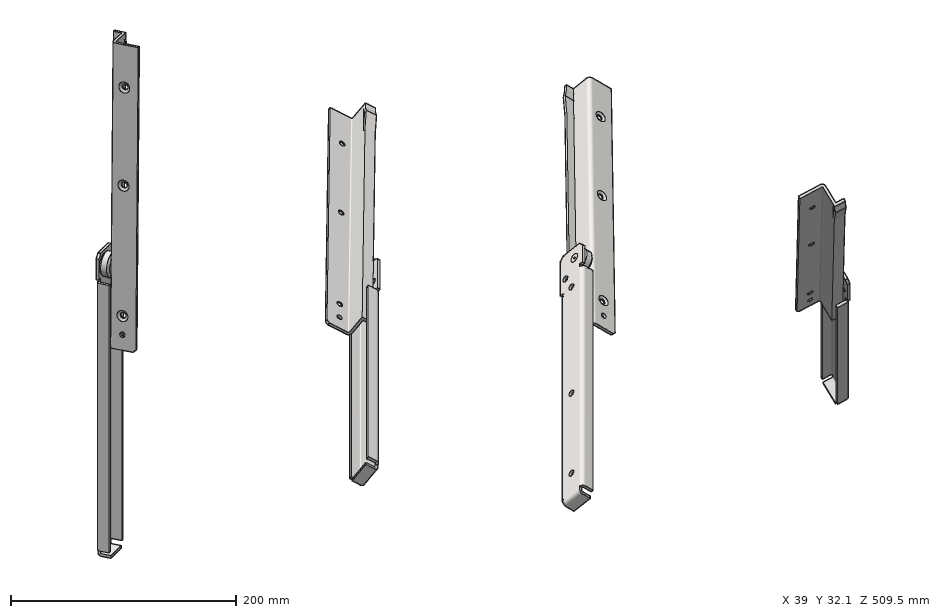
import cadquery as cq
import math

SHEET = 2.8
BEND = 3.8
RAIL_LENGTH = 299.5
OVERALL_HEIGHT = 509.5
LONG_PITCH = 128.0
SHORT_PITCH = 96.5

RAIL_BACK_X = -19.5
RAIL_RIM_X = -6.5
FLAT_HALF_WIDTH = 11.0
RAIL_HALF_WIDTH = FLAT_HALF_WIDTH + BEND
FLANGE_BOTTOM_Z = 7.0
REAR_FLANGE_TOP_Z = 251.0
FRONT_FLANGE_TOP_Z = 271.5
RELIEF = 3.0
HEAD_CORNER = 4.0
RAIL_HOLE_TOP_Z = 254.5
RAIL_HOLE_DIAMETER = 6.0
SIDE_HOLE_Y = 8.0
SIDE_HOLE_Z = 270.0

ROLLER_Y = -4.0
ROLLER_Z = 287.0
ROLLER_RADIUS = 11.5
ROLLER_CHAMFER = 2.0
RIVET_DIAMETER = 8.5
RIVET_BORE = 1.5

SLIDE_TILT = 1.0
SLIDE_TOP_Y = 15.0
SLIDE_WEB_X = -6.5
SLIDE_WIDTH = 24.5
TRACK_RIM_X = -15.0
MOUNT_RIM_X = 19.5
MOUNT_CORNER = 2.5
MOUNT_HOLE_X = 6.0
MOUNT_HOLE_DEPTH = 42.0
MOUNT_HOLE_DIAMETER = 5.5
SINK_DIAMETER = 10.5
SINK_ANGLE = 120
PILOT_HOLE_DEPTH = 284.0
PILOT_HOLE_DIAMETER = 5.0
DETENT_START = 6.0
DETENT_PEAK = 12.0
DETENT_END = 35.5
DETENT_HEIGHT = 1.8


def block(x0, x1, y0, y1, z0, z1):
    """Box between two opposite corners."""
    return cq.Workplane("XY").box(x1 - x0, y1 - y0, z1 - z0, centered=False).translate((x0, y0, z0))


def rod(x0, x1, y, z, diameter):
    """Cylinder along X."""
    return cq.Workplane("YZ", origin=(x0, y, z)).circle(diameter / 2).extrude(x1 - x0)


def fold(plane, reach, length):
    """Bend and flange: starts at the bend line, curves out along local x, then runs along local y."""
    inner = BEND - SHEET
    return (
        cq.Workplane(plane)
        .moveTo(0, 0)
        .radiusArc((BEND, BEND), -BEND)
        .lineTo(BEND, reach)
        .lineTo(inner, reach)
        .lineTo(inner, BEND)
        .radiusArc((0, SHEET), inner)
        .close()
        .extrude(length)
    )


def make_fixed_rail():
    web_inner_x = RAIL_BACK_X + SHEET
    reach = RAIL_RIM_X - RAIL_BACK_X
    rail = block(RAIL_BACK_X, web_inner_x, -FLAT_HALF_WIDTH, FLAT_HALF_WIDTH, BEND, RAIL_LENGTH)

    rear_side = block(
        RAIL_BACK_X, web_inner_x, 0, RAIL_HALF_WIDTH, REAR_FLANGE_TOP_Z + RELIEF, RAIL_LENGTH)
    front_side = block(
        RAIL_BACK_X, web_inner_x, -RAIL_HALF_WIDTH, 0, FRONT_FLANGE_TOP_Z + RELIEF, RAIL_LENGTH)
    head = rear_side.union(front_side).edges("|X and >Z").chamfer(HEAD_CORNER)

    front_plane = cq.Plane((RAIL_BACK_X, -FLAT_HALF_WIDTH, FLANGE_BOTTOM_Z), (0, -1, 0), (0, 0, 1))
    front_flange = fold(front_plane, reach, FRONT_FLANGE_TOP_Z - FLANGE_BOTTOM_Z)
    rear_plane = cq.Plane((RAIL_BACK_X, FLAT_HALF_WIDTH, REAR_FLANGE_TOP_Z), (0, 1, 0), (0, 0, -1))
    rear_flange = fold(rear_plane, reach, REAR_FLANGE_TOP_Z - FLANGE_BOTTOM_Z)
    foot_plane = cq.Plane((RAIL_BACK_X, FLAT_HALF_WIDTH, BEND), (0, 0, -1), (0, -1, 0))
    foot = fold(foot_plane, reach, 2 * FLAT_HALF_WIDTH)
    rail = rail.union(head).union(front_flange).union(rear_flange).union(foot)

    distances = (0, LONG_PITCH, LONG_PITCH + SHORT_PITCH)
    holes = [(0, RAIL_HOLE_TOP_Z - distance) for distance in distances]
    holes.append((SIDE_HOLE_Y, SIDE_HOLE_Z))
    for y, z in holes:
        rail = rail.cut(rod(RAIL_BACK_X, web_inner_x, y, z, RAIL_HOLE_DIAMETER))
    return rail.cut(rod(RAIL_BACK_X, web_inner_x, ROLLER_Y, ROLLER_Z, RIVET_DIAMETER))


def make_roller():
    start_x = RAIL_BACK_X + SHEET
    roller = rod(start_x, SLIDE_WEB_X, ROLLER_Y, ROLLER_Z, 2 * ROLLER_RADIUS)
    roller = roller.edges().chamfer(ROLLER_CHAMFER)
    return roller.cut(rod(start_x, SLIDE_WEB_X, ROLLER_Y, ROLLER_Z, RIVET_DIAMETER))


def make_rivet():
    rivet = rod(RAIL_BACK_X, SLIDE_WEB_X, ROLLER_Y, ROLLER_Z, RIVET_DIAMETER)
    return rivet.cut(rod(RAIL_BACK_X, SLIDE_WEB_X, ROLLER_Y, ROLLER_Z, RIVET_BORE))


def make_track_flange():
    """Rear flange with a kink near its top that the roller drops into."""
    outer = [
        (0, -RAIL_LENGTH),
        (0, -DETENT_END),
        (DETENT_HEIGHT, -DETENT_PEAK),
        (0, -DETENT_START),
        (0, 0),
    ]
    inner = [(y - SHEET, z) for y, z in reversed(outer)]
    width = SLIDE_WEB_X + SHEET - TRACK_RIM_X
    return cq.Workplane("YZ", origin=(TRACK_RIM_X, 0, 0)).polyline(outer + inner).close().extrude(width)


def make_mount_flange():
    """Front flange with countersunk screw holes and a pilot hole."""
    plane = cq.Plane((SLIDE_WEB_X, BEND - SLIDE_WIDTH, -RAIL_LENGTH), (0, -1, 0), (0, 0, 1))
    flange = fold(plane, MOUNT_RIM_X - SLIDE_WEB_X, RAIL_LENGTH)
    flange = flange.edges("|Y and >X and <Z").chamfer(MOUNT_CORNER)
    face = cq.Workplane("XZ", origin=(0, -SLIDE_WIDTH, 0))
    distances = (0, SHORT_PITCH, SHORT_PITCH + LONG_PITCH)
    screws = [(MOUNT_HOLE_X, -MOUNT_HOLE_DEPTH - distance) for distance in distances]
    flange = flange.copyWorkplane(face).pushPoints(screws)
    flange = flange.cskHole(MOUNT_HOLE_DIAMETER, SINK_DIAMETER, SINK_ANGLE)
    pilot = [(MOUNT_HOLE_X, -PILOT_HOLE_DEPTH)]
    return flange.copyWorkplane(face).pushPoints(pilot).hole(PILOT_HOLE_DIAMETER)


def make_sliding_rail():
    web = block(SLIDE_WEB_X, SLIDE_WEB_X + SHEET, BEND - SLIDE_WIDTH, -SHEET, -RAIL_LENGTH, 0)
    rail = web.union(make_track_flange()).union(make_mount_flange())
    rail = rail.rotate((0, 0, 0), (1, 0, 0), -SLIDE_TILT)
    front_corner_rise = SLIDE_WIDTH * math.sin(math.radians(SLIDE_TILT))
    return rail.translate((0, SLIDE_TOP_Y, OVERALL_HEIGHT - front_corner_rise))


fixed_rail = make_fixed_rail()
sliding_rail = make_sliding_rail()
roller = make_roller()
rivet = make_rivet()

result = cq.Compound.makeCompound([fixed_rail.val(), sliding_rail.val(), roller.val(), rivet.val()])